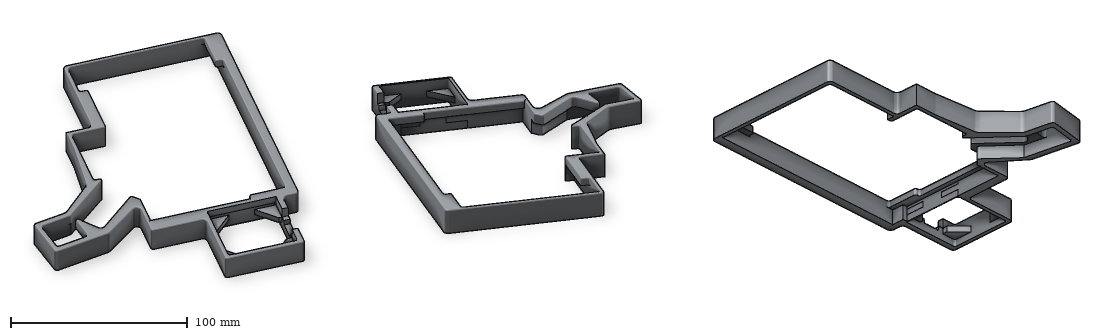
import cadquery as cq
import math

length = 184.4
width = 151.2
height = 14.5
wall = 2.5
rim_round = 1.2

frame_round = 2.5
small_round = 1.8
tip_round = 1.3
arm_round = 5.0
sharp = 0.0

top_wall = 6.0
bottom_edge = 57.0
top_right_edge = 143.8
column_inner = 139.4
column_outer = 148.6
shelf_bottom = 61.5
shelf_top = shelf_bottom + wall

lip_thickness = 4.8
overhang = 3.1
left_lip_end = 23.2
left_lip_edge = 140.7
right_lip_edge = 136.3
right_lip_end = 123.7
bottom_lip_edge = 64.5
corner_block_end = 136.8

step_outer = 53.8
step_inner = 57.0
floor_bottom = 41.5
floor_top = floor_bottom + wall
floor_bend_x = 69.5
left_arm_top = (99.8, 38.7)
left_arm_tip = (97.0, 50.5)

right_arm_top_x = 124.7
arm_lip_top = (120.6, shelf_top)
arm_lip_tip = (116.2, 59.7)
arm_lip_bottom = (138.0, 35.5)
arm_lip_thickness = 6.3
arm_wall_foot_height = 36.3
arm_undercut_reach = 9.8

grip_angle = 10.0
grip_width = 27.5
grip_side_wall = 4.2
grip_bottom_wall = 3.3
grip_left_height = 21.0
grip_left_inner_height = 22.0
grip_right_height = 34.3
hook_height = 22.7
grip_corner_x = 121.9

box_bottom = 94.0
box_top = 141.5
box_top_wall = 3.9
box_left_inner = 143.0
ledge_leg = 13.0
ledge_top = 8.3
ledge_thickness = 3.7
notch_centre = 163.0
notch_width = 18.3
notch_floor_width = 10.7
notch_floor_top_width = 12.2
notch_floor = 5.5


def grip_point(along, up):
    """Point of the tilted grip frame in part coordinates."""
    angle = math.radians(grip_angle)
    corner_y = -small_round * (math.sin(angle) + math.cos(angle) - 1)
    x = grip_corner_x + along * math.cos(angle) - up * math.sin(angle)
    y = corner_y + along * math.sin(angle) + up * math.cos(angle)
    return (x, y)


def arm_point(along, into_arm):
    """Point measured from the arm lip tip, along the lip edge and into the arm."""
    tip = cq.Vector(*arm_lip_tip)
    edge = (cq.Vector(*arm_lip_bottom) - tip).normalized()
    inward = cq.Vector(-edge.y, edge.x)
    point = tip + edge * along + inward * into_arm
    return (point.x, point.y)


def rounded_prism(corners, bottom, top):
    """Prism over a closed outline of (point, corner radius) pairs."""
    stops = []
    count = len(corners)
    for i, (point, radius) in enumerate(corners):
        here = cq.Vector(*point)
        back = (cq.Vector(*corners[i - 1][0]) - here).normalized()
        ahead = (cq.Vector(*corners[(i + 1) % count][0]) - here).normalized()
        half_angle = back.getAngle(ahead) / 2
        run = radius / math.tan(half_angle)
        middle = here + (back + ahead).normalized() * (radius / math.sin(half_angle) - radius)
        stops.append((radius, here + back * run, middle, here + ahead * run))

    outline = cq.Workplane("XY").workplane(offset=bottom).moveTo(*stops[0][3].toTuple()[:2])
    for radius, start, middle, end in stops[1:] + stops[:1]:
        outline = outline.lineTo(*start.toTuple()[:2])
        if radius > 0:
            outline = outline.threePointArc(middle.toTuple()[:2], end.toTuple()[:2])
    return outline.close().extrude(top - bottom)


def block(x_range, y_range, z_range):
    size = [high - low for low, high in (x_range, y_range, z_range)]
    corner = (x_range[0], y_range[0], z_range[0])
    return cq.Workplane("XY").box(*size, centered=False).translate(corner)


outer_corners = [
    ((0, width), frame_round),
    ((top_right_edge, width), frame_round),
    ((top_right_edge, box_top), frame_round),
    ((length, box_top), small_round),
    ((length, box_bottom), small_round),
    ((column_outer, box_bottom), frame_round),
    ((column_outer, shelf_bottom), small_round),
    ((right_arm_top_x, shelf_bottom), frame_round),
    (grip_point(grip_width, grip_right_height), arm_round),
    (grip_point(grip_width, 0), small_round),
    (grip_point(0, 0), small_round),
    (grip_point(0, grip_left_height), arm_round),
    (left_arm_top, arm_round),
    ((floor_bend_x, floor_bottom), sharp),
    ((step_outer, floor_bottom), sharp),
    ((step_outer, bottom_edge), frame_round),
    ((0, bottom_edge), frame_round),
]

grip_inner_right = grip_width - grip_side_wall
top_inner = width - top_wall
bottom_inner = bottom_edge + wall
opening_corners = [
    ((wall, left_lip_edge), tip_round),
    ((left_lip_end, left_lip_edge), tip_round),
    ((left_lip_end, top_inner), tip_round),
    ((right_lip_edge, top_inner), tip_round),
    ((right_lip_edge, right_lip_end), tip_round),
    ((column_inner, right_lip_end), tip_round),
    ((column_inner, shelf_top), sharp),
    (arm_lip_top, tip_round),
    (arm_lip_tip, tip_round),
    (arm_lip_bottom, frame_round),
    (grip_point(grip_side_wall, hook_height), tip_round),
    (grip_point(grip_inner_right, hook_height), small_round),
    (grip_point(grip_inner_right, grip_bottom_wall), tip_round),
    (grip_point(grip_side_wall, grip_bottom_wall), tip_round),
    (grip_point(grip_side_wall, grip_left_inner_height), tip_round),
    (left_arm_tip, tip_round),
    ((left_arm_tip[0], floor_top), tip_round),
    ((step_inner, floor_top), tip_round),
    ((step_inner, bottom_lip_edge), tip_round),
    ((left_lip_end, bottom_lip_edge), tip_round),
    ((left_lip_end, bottom_inner), tip_round),
    ((wall, bottom_inner), small_round),
]

body = rounded_prism(outer_corners, 0, height)
body = body.cut(rounded_prism(opening_corners, 0, height))
body = body.faces(">Z").edges().fillet(rim_round)

undercut_z = (0, height - lip_thickness)
left_lip_x = (wall, left_lip_end + overhang)
left_lip_y = (left_lip_edge - overhang, top_inner)
bottom_lip_x = (left_lip_end - overhang, step_outer)
bottom_lip_y = (bottom_inner, bottom_lip_edge + overhang)
right_lip_x = (right_lip_edge - overhang, column_inner)
right_lip_y = (corner_block_end, top_inner)
column_x = (right_lip_edge - overhang, column_inner + overhang)
column_y = (shelf_top, corner_block_end)
body = body.cut(block(left_lip_x, left_lip_y, undercut_z))
body = body.cut(block(bottom_lip_x, bottom_lip_y, undercut_z))
body = body.cut(block(right_lip_x, right_lip_y, undercut_z))
body = body.cut(block(column_x, column_y, undercut_z))

arm_undercut_corners = [
    (arm_point(overhang, arm_undercut_reach), sharp),
    (arm_point(overhang, overhang), small_round),
    (grip_point(grip_inner_right, arm_wall_foot_height), sharp),
    (grip_point(grip_inner_right, hook_height - small_round), sharp),
    (grip_point(grip_side_wall, hook_height - small_round), sharp),
    (arm_point(-overhang, -overhang), sharp),
    (arm_point(-overhang, arm_undercut_reach), sharp),
]
body = body.cut(rounded_prism(arm_undercut_corners, 0, height - arm_lip_thickness))

box_x = (box_left_inner, length - wall)
box_y = (box_bottom + wall, box_top - box_top_wall)
box_opening = block(box_x, box_y, (0, height)).edges("|Z and >X").fillet(tip_round)
body = body.cut(box_opening)
for corner_x, inward_x in zip(box_x, (1, -1)):
    for corner_y, inward_y in zip(box_y, (1, -1)):
        ledge = (
            cq.Workplane("XY")
            .workplane(offset=ledge_top - ledge_thickness)
            .moveTo(corner_x, corner_y)
            .lineTo(corner_x + inward_x * ledge_leg, corner_y)
            .lineTo(corner_x, corner_y + inward_y * ledge_leg)
            .close()
            .extrude(ledge_thickness)
        )
        body = body.union(ledge)

notch_left = notch_centre - notch_width / 2
notch_right = notch_centre + notch_width / 2
notch_y = (box_top - box_top_wall, box_top)
trim_y = (box_top - box_top_wall - ledge_leg, box_top - box_top_wall)
body = body.cut(block((notch_left, notch_right), notch_y, (ledge_top, height)))
body = body.cut(block((notch_left, notch_right), trim_y, (0, height)))
groove = (
    cq.Workplane("XZ", origin=(notch_centre, box_top, 0))
    .moveTo(-notch_floor_width / 2, notch_floor)
    .lineTo(notch_floor_width / 2, notch_floor)
    .lineTo(notch_floor_top_width / 2, ledge_top)
    .lineTo(-notch_floor_top_width / 2, ledge_top)
    .close()
    .extrude(box_top_wall)
)
result = body.cut(groove)